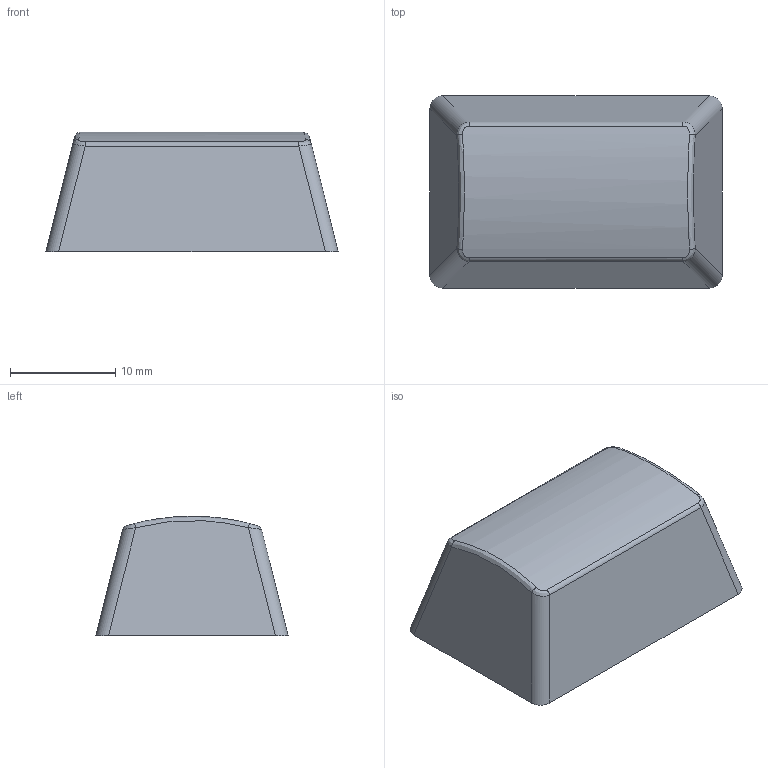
import cadquery as cq
import math

length = 27.82
width = 18.3
height = 11.4

draft_angle = 14.0
crown_radius = 21.5
corner_radius = 1.25
rim_radius = 0.55
trim_margin = 1.0


def tapered_block():
    """Rectangular block, taller than the keycap, whose walls lean inward."""
    return cq.Workplane("XY").rect(length, width).extrude(height + trim_margin, taper=draft_angle)


def crown_envelope():
    """Prism along X with a domed top; its crest sits at the keycap height."""
    half_width = width / 2 + trim_margin
    edge_drop = crown_radius - math.sqrt(crown_radius**2 - half_width**2)
    return (
        cq.Workplane("YZ", origin=(-length / 2 - trim_margin, 0, 0))
        .moveTo(-half_width, -trim_margin)
        .lineTo(half_width, -trim_margin)
        .lineTo(half_width, height - edge_drop)
        .threePointArc((0, height), (-half_width, height - edge_drop))
        .close()
        .extrude(length + 2 * trim_margin)
    )


block = tapered_block().edges("not(#Z)").fillet(corner_radius)
crowned = block.intersect(crown_envelope())
result = crowned.faces(">Z").edges().fillet(rim_radius)